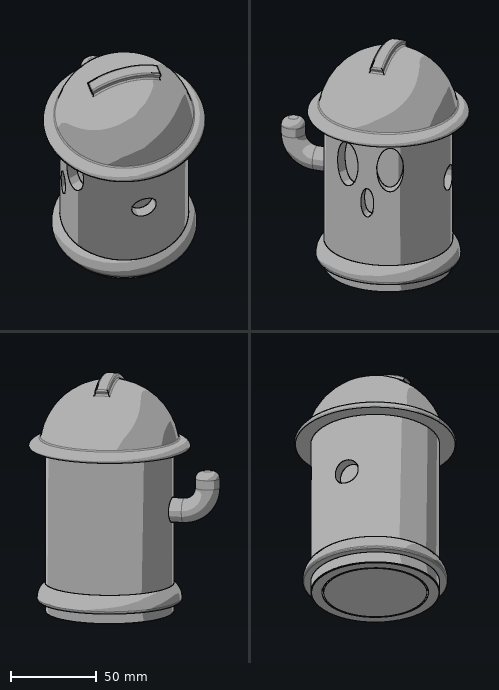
import cadquery as cq
import math

housing_radius = 37.5
housing_height = 97.5
bore_radius = 30.95
bottom_chamfer = 0.4

ring_bottom = 6.9
ring_top = 17.2
ring_radius = 42.3
ring_bulge_radius = 10.5
ring_bulge_height = 8.5
ring_edge_fillet = 0.7

eye_angle = 20.8
eye_height = 78.5
eye_half_width = 7.8
eye_half_height = 14.0
mouth_height = 56.5
mouth_half_width = 4.0
mouth_half_height = 9.0

core_radius = 30.0

arm_radius = 7.26
arm_hole_radius = 7.5
arm_height = 62.0
arm_axis_x = -58.45
arm_bend_radius = 14.1
arm_top = 86.0
arm_tip_fillet = 4.4

dome_radius = 40.9
dome_centre_height = 96.9
brim_bottom = housing_height
brim_top = 103.2
brim_radius = 47.2
brim_edge_height = 98.4
brim_bulge_radius = 44.8
brim_bulge_height = 101.7
brim_underside_radius = 46.5

total_height = 141.0
crest_radius = total_height - dome_centre_height
crest_width = 7.9
crest_half_angle = 29.3
crest_fillet = 1.0
crest_foot_fillet = 1.0


def make_foot_ring():
    bulge_centre = ring_radius - ring_bulge_radius
    top_rise = ring_top - ring_bulge_height
    middle_angle = math.asin(top_rise / ring_bulge_radius) / 2
    bulge_middle = (
        bulge_centre + ring_bulge_radius * math.cos(middle_angle),
        ring_bulge_height + ring_bulge_radius * math.sin(middle_angle),
    )
    bulge_end = bulge_centre + math.sqrt(ring_bulge_radius**2 - top_rise**2)
    return (
        cq.Workplane("XZ")
        .moveTo(0, ring_bottom)
        .lineTo(ring_radius, ring_bottom)
        .lineTo(ring_radius, ring_bulge_height)
        .threePointArc(bulge_middle, (bulge_end, ring_top))
        .lineTo(0, ring_top)
        .close()
        .revolve(360, (0, 0, 0), (0, 1, 0))
        .faces("<Z")
        .edges()
        .fillet(ring_edge_fillet)
    )


def make_face_cutter(angle, height, half_width, half_height):
    """Elliptical bar along -Y from the axis, turned about Z by the angle in degrees."""
    return (
        cq.Workplane("XZ", origin=(0, 0, height))
        .ellipse(half_width, half_height)
        .extrude(ring_radius)
        .rotate((0, 0, 0), (0, 0, 1), angle)
    )


def make_housing():
    wall = cq.Workplane("XY").circle(housing_radius).extrude(housing_height)
    wall = wall.faces("<Z").edges().chamfer(bottom_chamfer)
    bore = cq.Workplane("XY").circle(bore_radius).extrude(housing_height)
    arm_holes = (
        cq.Workplane("YZ", origin=(0, 0, arm_height))
        .circle(arm_hole_radius)
        .extrude(ring_radius, both=True)
    )
    body = wall.union(make_foot_ring()).cut(bore).cut(arm_holes)
    for angle in (-eye_angle, eye_angle):
        body = body.cut(make_face_cutter(angle, eye_height, eye_half_width, eye_half_height))
    return body.cut(make_face_cutter(0, mouth_height, mouth_half_width, mouth_half_height))


def make_core():
    return cq.Workplane("XY").circle(core_radius).extrude(housing_height)


def make_arm():
    bend_start_x = arm_axis_x + arm_bend_radius
    bend_centre_height = arm_height + arm_bend_radius
    bend_middle = (
        bend_start_x - arm_bend_radius * math.cos(math.pi / 4),
        bend_centre_height - arm_bend_radius * math.sin(math.pi / 4),
    )
    path = (
        cq.Workplane("XZ")
        .moveTo(-bore_radius, arm_height)
        .lineTo(bend_start_x, arm_height)
        .threePointArc(bend_middle, (arm_axis_x, bend_centre_height))
        .lineTo(arm_axis_x, arm_top)
    )
    bar = cq.Workplane("YZ", origin=(-bore_radius, 0, arm_height)).circle(arm_radius).sweep(path)
    return bar.faces(">Z").edges().fillet(arm_tip_fillet)


def make_crest():
    """Bar with radial ends, curved about the dome's centre and reaching down into the dome."""
    inner_radius = dome_radius / 2
    sine = math.sin(math.radians(crest_half_angle))
    cosine = math.cos(math.radians(crest_half_angle))
    bar = (
        cq.Workplane("YZ", origin=(0, 0, dome_centre_height))
        .moveTo(-inner_radius * sine, inner_radius * cosine)
        .lineTo(-crest_radius * sine, crest_radius * cosine)
        .threePointArc((0, crest_radius), (crest_radius * sine, crest_radius * cosine))
        .lineTo(inner_radius * sine, inner_radius * cosine)
        .close()
        .extrude(crest_width / 2, both=True)
    )
    return bar.faces(">Z").edges().fillet(crest_fillet)


def lies_on_dome(edge):
    dome_centre = cq.Vector(0, 0, dome_centre_height)
    return all(
        math.isclose((edge.positionAt(step) - dome_centre).Length, dome_radius, abs_tol=0.0001)
        for step in (0, 0.3, 1)
    )


def make_hat():
    dome_edge = math.sqrt(dome_radius**2 - (brim_top - dome_centre_height) ** 2)
    profile = (
        cq.Workplane("XZ")
        .moveTo(0, brim_bottom)
        .lineTo(brim_underside_radius, brim_bottom)
        .spline(
            [
                (brim_radius, brim_edge_height),
                (brim_bulge_radius, brim_bulge_height),
                (dome_edge, brim_top),
            ],
            tangents=[(1, 1), (0, 1), (-1, 0.7), (-1, 0.3)],
            includeCurrent=True,
        )
        .threePointArc(
            (
                dome_radius * math.cos(math.pi / 4),
                dome_centre_height + dome_radius * math.sin(math.pi / 4),
            ),
            (0, dome_centre_height + dome_radius),
        )
        .close()
    )
    dome = profile.revolve(360, (0, 0, 0), (0, 1, 0))
    hat = dome.union(make_crest())
    foot_edges = [
        edge
        for edge in hat.edges().vals()
        if abs(edge.Center().x) < crest_width and lies_on_dome(edge)
    ]
    return hat.newObject(foot_edges).fillet(crest_foot_fillet)


housing = make_housing()
core = make_core()
arm = make_arm()
hat = make_hat()

result = cq.Compound.makeCompound([housing.val(), core.val(), arm.val(), hat.val()])